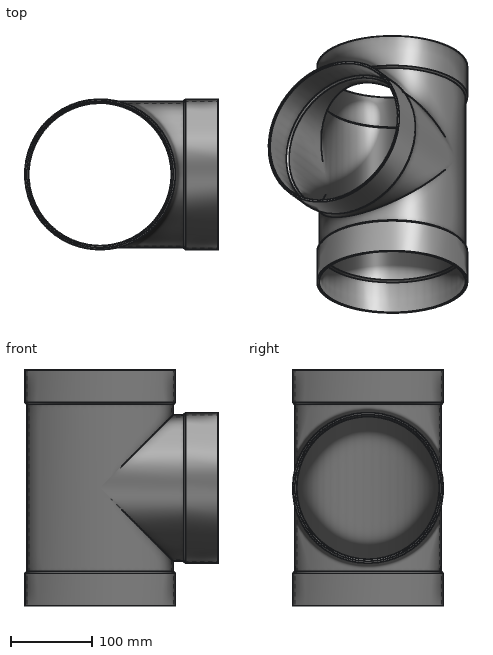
import cadquery as cq

run_length = 290.0
pipe_bore = 175.0
wall = 2.5
socket_depth = 40.0
taper_length = 2.5

reach = run_length / 2
bore_radius = pipe_bore / 2
pipe_radius = bore_radius + wall
socket_step = wall
socket_start = reach - socket_depth
taper_start = socket_start - taper_length


def arm_edge(radius):
    """Edge points (radius, distance from tee centre) from the taper out to the socket mouth."""
    socket_radius = radius + socket_step
    return [
        (radius, taper_start),
        (socket_radius, socket_start),
        (socket_radius, reach),
        (0, reach),
    ]


def revolved(profile):
    """Solid of revolution about Z from a closed (radius, height) profile."""
    return cq.Workplane("XZ").polyline(profile).close().revolve(360, (0, 0, 0), (0, 1, 0))


def tee(radius):
    """Solid tee: a straight run along Z with a socket at each end and a branch along +X."""
    upper_edge = arm_edge(radius)
    lower_edge = [(r, -z) for r, z in reversed(upper_edge)]
    run = revolved(lower_edge + upper_edge)
    branch = revolved([(0, 0), (radius, 0)] + upper_edge)
    return run.union(branch.rotate((0, 0, 0), (0, 1, 0), 90))


result = tee(pipe_radius).cut(tee(bore_radius))